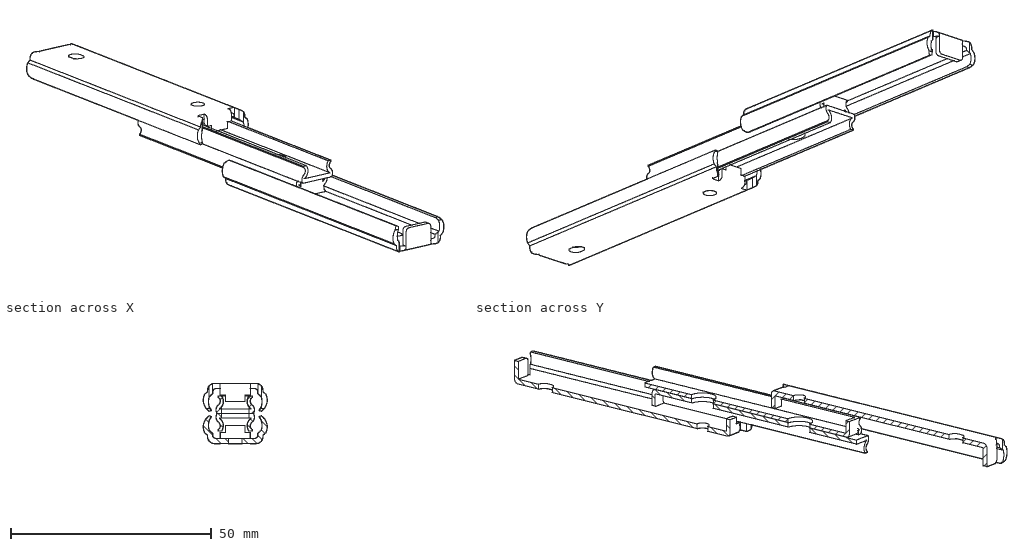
import cadquery as cq
import math


slide_length = 150.6
slide_width = 16.0
slide_height = 15.0

rail_length = 70.2
rail_sheet = 1.4
bend_radius = 1.13
rail_top = slide_height / 2
rail_start = -slide_length / 2
rail_end = rail_start + rail_length
flange_outer_y = 7.0
shoulder_radius = 1.8
inner_shoulder_radius = 0.8
neck_outer_z = 5.4
neck_inner_z = 5.0
race_radius = 3.3
race_center_y = slide_width / 2 - race_radius
race_center_z = 3.3
race_start_angle = math.radians(27)
race_tip_angle = math.radians(-57)
inner_tip_y = 5.9
inner_tip_z = 0.8
flange_tip_chamfer = 0.8

tab_half_width = 3.84
tab_tip = 1.5
tab_corner_radius = 0.9
notch_depth = 1.2
notch_apex_y = 4.8
notch_outer_y = 6.2

web_setback = 2.7
flange_inner_y = 5.7
flange_chamfer = 0.8
stop_face_setback = 1.4
stop_half_width = 3.8
stop_shoulder = 4.7
stop_neck_half_width = 2.48
stop_tip = 2.94

mount_hole_diameter = 3.3
slot_length = 4.2
slot_from_end = 10.0
hole_spacing = 50.0
slot_x = rail_start + slot_from_end
hole_x = slot_x + hole_spacing

channel_length = 65.2
channel_sheet = 1.13
channel_end = 33.7
channel_start = channel_end - channel_length
channel_half_width = 4.8
side_bulge_z = 0.9
groove_z = 3.09
groove_radius = 1.17
groove_center_y = 4.94
rim_z = 4.4
rim_edge_height = 0.3
rim_inner_y = 3.39
wall_inner_y = 2.94
web_inner_y = 3.99
channel_stop_half_width = 3.5
access_hole_diameter = 6.8


def on_race(radius, angle):
    """Point at an angle round the axis of the rail's ball race, as (y, z)."""
    return race_center_y + radius * math.cos(angle), race_center_z + radius * math.sin(angle)


def on_bend(corner_y, corner_z, radius, angle):
    """Point at an angle round the arc that rounds an upper +Y corner, as (y, z)."""
    return corner_y + radius * (math.cos(angle) - 1), corner_z + radius * (math.sin(angle) - 1)


def rail_section():
    """Half of the rail's cross-section on the +Y side, from the middle of the web."""
    outer_bend = (flange_outer_y, rail_top, shoulder_radius)
    flange_inner = flange_outer_y - rail_sheet
    web_underside = rail_top - rail_sheet
    inner_bend = (flange_inner, web_underside, inner_shoulder_radius)
    inner_race = race_radius - rail_sheet
    diagonal = math.radians(45)
    upright = math.radians(90)
    return (
        cq.Workplane("YZ", origin=(rail_start, 0, 0))
        .moveTo(0, rail_top)
        .lineTo(*on_bend(*outer_bend, upright))
        .threePointArc(on_bend(*outer_bend, diagonal), on_bend(*outer_bend, 0))
        .lineTo(flange_outer_y, neck_outer_z)
        .lineTo(*on_race(race_radius, race_start_angle))
        .threePointArc(on_race(race_radius, 0), on_race(race_radius, race_tip_angle))
        .lineTo(inner_tip_y, inner_tip_z)
        .threePointArc(on_race(inner_race, 0), on_race(inner_race, race_start_angle))
        .lineTo(flange_inner, neck_inner_z)
        .lineTo(*on_bend(*inner_bend, 0))
        .threePointArc(on_bend(*inner_bend, diagonal), on_bend(*inner_bend, upright))
        .lineTo(0, web_underside)
        .close()
    )


def both_sides(half):
    """A half built on the +Y side joined to its mirror image, as one solid."""
    return half.union(half.mirror("XZ"))


def cross_plate(x, thickness, half_width, z_from, z_to):
    """Upright plate across the slide that starts at x."""
    plate = cq.Workplane("XY", origin=(x, 0, z_from))
    return plate.box(thickness, 2 * half_width, z_to - z_from, centered=(False, True, False))


def bend_edge(x, z):
    """Selector for the sharp edge across the slide at x and z, on the outside of a bend."""
    return cq.selectors.NearestToPointSelector((x, 0, z))


def upward_prism(points):
    """Prism from mid height to the rail's top, on an outline in X and Y and its mirror image."""
    return both_sides(cq.Workplane("XY").polyline(points).close().extrude(rail_top))


def outer_end_notches():
    """V notches that part the outer tab from the flanges."""
    return upward_prism([
        (rail_start, tab_half_width),
        (rail_start + notch_depth, notch_apex_y),
        (rail_start, notch_outer_y),
    ])


def inner_end_cutback():
    """Space at the inner end around the tongue of the stop, widened at the flange corners."""
    stop_face = rail_end - stop_face_setback
    web_end = rail_end - web_setback
    return upward_prism([
        (stop_face, 0),
        (stop_face, stop_half_width),
        (web_end, stop_half_width),
        (web_end, flange_inner_y),
        (rail_end - flange_chamfer, flange_inner_y),
        (rail_end, flange_inner_y + flange_chamfer),
        (rail_end, 0),
    ])


def flange_tip_cuts():
    """Corners cut off the free edges of the flanges at both ends."""
    tip_z = on_race(race_radius, race_tip_angle)[1]
    cuts = cq.Workplane("XZ")
    for end, inward in ((rail_start, 1), (rail_end, -1)):
        corner = cq.Workplane("XZ", origin=(0, slide_width / 2, 0)).polyline([
            (end, tip_z),
            (end + inward * flange_tip_chamfer, tip_z),
            (end, tip_z + flange_tip_chamfer),
        ])
        cuts = cuts.add(corner.close().extrude(slide_width))
    return cuts.combine()


def outer_tab():
    """Tab that hangs from the web at the outer end, its free corners rounded."""
    tab = cross_plate(rail_start, rail_sheet, tab_half_width, tab_tip, rail_top - rail_sheet)
    return tab.edges("|X and <Z").fillet(tab_corner_radius)


def rail_stop():
    """Stepped stop that hangs from the web, its neck narrow enough to enter the channel."""
    stop_x = rail_end - stop_face_setback - rail_sheet
    base = cross_plate(stop_x, rail_sheet, stop_half_width, stop_shoulder, rail_top - rail_sheet)
    neck = cross_plate(stop_x, rail_sheet, stop_neck_half_width, stop_tip, stop_shoulder)
    return base.union(neck)


def mounting_holes():
    """A lengthwise slot near the outer end and a round hole near the inner end."""
    web = cq.Workplane("XY", origin=(0, 0, rail_top - rail_sheet))
    slot = web.center(slot_x, 0).slot2D(slot_length, mount_hole_diameter).extrude(rail_sheet)
    hole = web.center(hole_x, 0).circle(mount_hole_diameter / 2).extrude(rail_sheet)
    return slot.union(hole)


def upper_rail():
    """C-shaped outer rail with its web on top."""
    rail = both_sides(rail_section().extrude(rail_length))
    rail = rail.cut(outer_end_notches()).cut(inner_end_cutback()).cut(flange_tip_cuts())
    rail = rail.union(outer_tab()).union(rail_stop())
    for end in (rail_start, rail_end - stop_face_setback):
        rail = rail.edges(bend_edge(end, rail_top)).fillet(bend_radius)
    return rail.cut(mounting_holes())


def channel_section():
    """Half of the channel's cross-section on the +Y side: a bulged side that runs smoothly into the groove."""
    rise = groove_z - side_bulge_z
    offset = groove_center_y - channel_half_width
    bulge_radius = (rise**2 + offset**2 - groove_radius**2) / (2 * (groove_radius - offset))
    bulge_center_y = channel_half_width - bulge_radius
    foot_y = bulge_center_y + math.sqrt(bulge_radius**2 - side_bulge_z**2)
    blend_share = bulge_radius / (bulge_radius + groove_radius)
    blend = (
        bulge_center_y + blend_share * (groove_center_y - bulge_center_y),
        side_bulge_z + blend_share * rise,
    )
    groove_end_z = rim_z - rim_edge_height
    rim_outer_y = groove_center_y - math.sqrt(groove_radius**2 - (groove_end_z - groove_z) ** 2)
    return (
        cq.Workplane("YZ", origin=(channel_start, 0, 0))
        .lineTo(foot_y, 0)
        .threePointArc((channel_half_width, side_bulge_z), blend)
        .threePointArc((groove_center_y - groove_radius, groove_z), (rim_outer_y, groove_end_z))
        .lineTo(rim_outer_y, rim_z)
        .lineTo(rim_inner_y, rim_z)
        .threePointArc((wall_inner_y, groove_z), (web_inner_y, channel_sheet))
        .lineTo(0, channel_sheet)
        .close()
    )


def channel_stop():
    """Stop that stands on the channel's web and closes the gap between its walls."""
    return cross_plate(channel_start, channel_sheet, channel_stop_half_width, channel_sheet, rim_z)


def stop_bend_corner():
    """Material outside the bend that turns the channel's web up into its stop."""
    block = cross_plate(channel_start, channel_sheet, channel_stop_half_width, 0, channel_sheet)
    bend = cq.Workplane("XZ", origin=(channel_start + channel_sheet, channel_stop_half_width, channel_sheet))
    return block.cut(bend.circle(channel_sheet).extrude(2 * channel_stop_half_width))


def access_holes():
    """Holes through the channel's web that let a screw head pass to each round mounting hole."""
    spots = [(hole_x, 0), (-hole_x, 0)]
    return cq.Workplane("XY").pushPoints(spots).circle(access_hole_diameter / 2).extrude(channel_sheet)


def upper_channel():
    """Inner channel with grooved walls standing on its web."""
    channel = both_sides(channel_section().extrude(channel_length))
    return channel.union(channel_stop()).cut(stop_bend_corner()).cut(access_holes())


def half_turn(body):
    """Copy of a body turned half a turn about the Y axis."""
    return body.rotate((0, 0, 0), (0, 1, 0), 180)


bodies = []
for make_body in (upper_rail, upper_channel):
    upper_body = make_body()
    bodies += [upper_body.val(), half_turn(upper_body).val()]

result = cq.Compound.makeCompound(bodies)